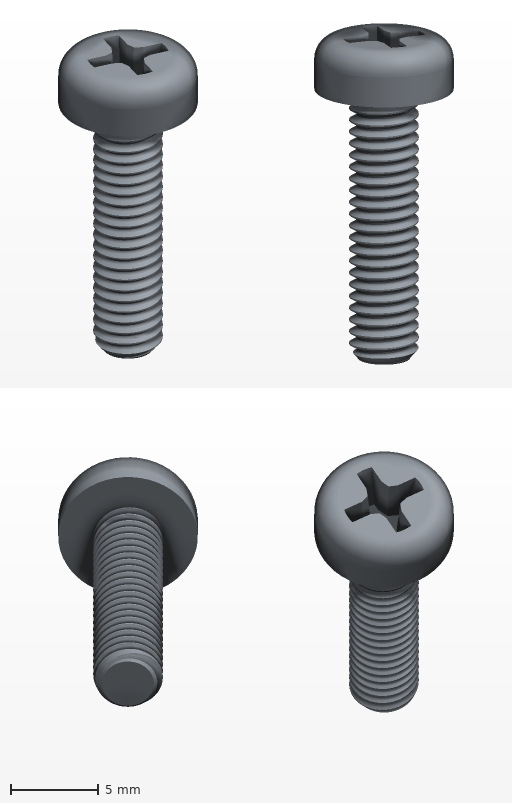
import cadquery as cq
import math

total_length = 19.1
head_diameter = 8.0
head_height = 3.1
head_rounding = 1.3
underhead = total_length - head_height

thread_angle = 60
thread_diameter = 4.0
thread_radius = thread_diameter / 2
ten_turn_rise = 7.0
pitch = ten_turn_rise / 10
flank_tan = math.tan(math.radians(thread_angle / 2))
thread_depth = 0.44
crest_width = pitch / 8
first_crest_drop = 0.75
root_overlap = 0.02
envelope_clearance = 0.2

tip_radius = 1.49
tip_height = 0.61

recess_depth = 2.67
recess_top_reach = 2.39
recess_floor_reach = 1.65
arm_half_width_top = 0.5
arm_half_width_floor = 0.27
arm_straight_start = 1.18
corner_top = 0.69
corner_floor = 0.53
arm_overrun = 0.2


def make_head():
    head = cq.Workplane("XY").workplane(offset=underhead).circle(head_diameter / 2).extrude(head_height)
    return head.faces(">Z").edges().fillet(head_rounding)


def make_core():
    """Root cylinder of the thread, longer than the shank at both ends."""
    extra = 4 * pitch
    root_radius = thread_radius - thread_depth
    return cq.Workplane("XY").workplane(offset=-extra).circle(root_radius).extrude(underhead + 2 * extra)


def make_shank_envelope():
    """Limits of the shank: clear of the thread crest, coned at the tip, ending just inside the head."""
    tip_slope = tip_height / (thread_radius - tip_radius)
    envelope_radius = thread_radius + envelope_clearance
    outline = [
        (0, 0),
        (tip_radius, 0),
        (envelope_radius, (envelope_radius - tip_radius) * tip_slope),
        (envelope_radius, underhead + root_overlap),
        (0, underhead + root_overlap),
    ]
    return cq.Workplane("XZ").polyline(outline).close().revolve(360, (0, 0, 0), (0, 1, 0))


def make_thread_ridge():
    """Helical trapezoid rooted inside the core, running past both ends of the shank."""
    base_radius = thread_radius - thread_depth - root_overlap
    crest_half = crest_width / 2
    base_half = crest_half + (thread_radius - base_radius) * flank_tan

    turns_below_first_crest = math.ceil(underhead / pitch)
    start = underhead - first_crest_drop - turns_below_first_crest * pitch
    length = (turns_below_first_crest + 2) * pitch
    helix = cq.Workplane(cq.Wire.makeHelix(pitch, length, base_radius)).translate((0, 0, start))
    profile = [
        (base_radius, start - base_half),
        (thread_radius, start - crest_half),
        (thread_radius, start + crest_half),
        (base_radius, start + base_half),
    ]
    return cq.Workplane("XZ").polyline(profile).close().sweep(helix, isFrenet=True)


def cross_outline(half_width, corner):
    """Points of a cross: one quarter, repeated at four quarter turns."""
    far = recess_top_reach + arm_overrun
    quarter = [
        (far, half_width),
        (arm_straight_start, half_width),
        (corner, corner),
        (half_width, arm_straight_start),
        (half_width, far),
    ]
    points = []
    for _ in range(4):
        for x, y in quarter:
            points.append((x, y))
        quarter = [(-y, x) for x, y in quarter]
    return points


def make_recess():
    """Tapered cross whose arm ends lie on a cone."""
    cross = (
        cq.Workplane("XY")
        .workplane(offset=total_length - recess_depth)
        .polyline(cross_outline(arm_half_width_floor, corner_floor))
        .close()
        .workplane(offset=recess_depth)
        .polyline(cross_outline(arm_half_width_top, corner_top))
        .close()
        .loft(ruled=True)
    )
    cone = (
        cq.Workplane("XY")
        .workplane(offset=total_length - recess_depth)
        .circle(recess_floor_reach)
        .workplane(offset=recess_depth)
        .circle(recess_top_reach)
        .loft(ruled=True)
    )
    return cross.intersect(cone)


threaded_shank = make_core().union(make_thread_ridge()).intersect(make_shank_envelope())
result = make_head().cut(make_recess()).union(threaded_shank)